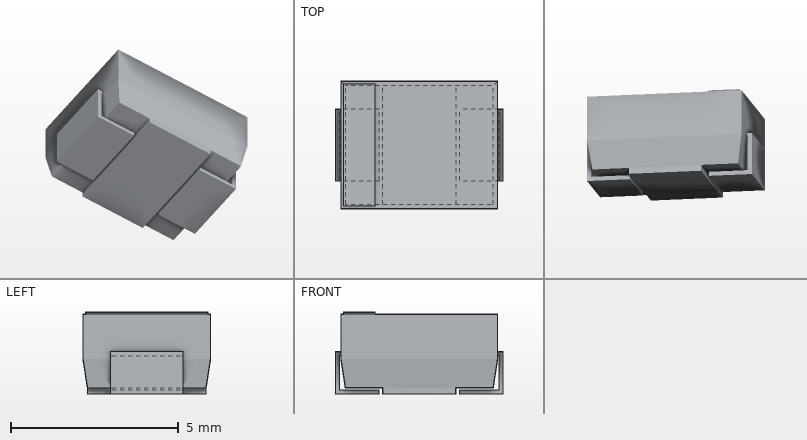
import cadquery as cq

overall_length = 5.0
overall_height = 2.44

housing_length = 4.68
housing_width = 3.81
parting_height = 1.05
underside_height = 0.18
taper_inset = 0.135

pad_length = 2.18

mark_thickness = 0.055
mark_length = 0.94
mark_margin = 0.085

terminal_width = 2.15
terminal_height = 1.26
terminal_thickness = 0.125
foot_length = 1.3

housing_top = overall_height - mark_thickness
underside_length = housing_length - 2 * taper_inset
underside_width = housing_width - 2 * taper_inset


def make_housing():
    """Upright upper block, tapered lower block and a pad across the underside."""
    upper = (
        cq.Workplane("XY", origin=(0, 0, parting_height))
        .rect(housing_length, housing_width)
        .extrude(housing_top - parting_height)
    )
    lower = (
        cq.Workplane("XY", origin=(0, 0, underside_height))
        .rect(underside_length, underside_width)
        .workplane(offset=parting_height - underside_height)
        .rect(housing_length, housing_width)
        .loft(ruled=True)
    )
    pad = cq.Workplane("XY").rect(pad_length, underside_width).extrude(underside_height)
    return upper.union(lower).union(pad)


def make_polarity_mark():
    """Thin raised bar along the -X edge of the housing top."""
    center_x = -housing_length / 2 + mark_margin + mark_length / 2
    return (
        cq.Workplane("XY", origin=(center_x, 0, housing_top))
        .rect(mark_length, housing_width - 2 * mark_margin)
        .extrude(mark_thickness)
    )


def make_terminal(side):
    """Bent strip on the -X (side = -1) or +X (side = 1) end of the housing.

    A short lip at the top touches the end wall; the foot turns in under the housing.
    """
    outer_x = side * overall_length / 2
    inner_x = outer_x - side * terminal_thickness
    wall_x = side * housing_length / 2
    foot_end_x = outer_x - side * foot_length
    lip_bottom = terminal_height - terminal_thickness
    profile = [
        (outer_x, 0),
        (outer_x, terminal_height),
        (wall_x, terminal_height),
        (wall_x, lip_bottom),
        (inner_x, lip_bottom),
        (inner_x, terminal_thickness),
        (foot_end_x, terminal_thickness),
        (foot_end_x, 0),
    ]
    return cq.Workplane("XZ").polyline(profile).close().extrude(terminal_width / 2, both=True)


housing = make_housing()
polarity_mark = make_polarity_mark()
terminals = [make_terminal(side) for side in (-1, 1)]

result = cq.Compound.makeCompound(
    [housing.val(), polarity_mark.val(), *[terminal.val() for terminal in terminals]]
)